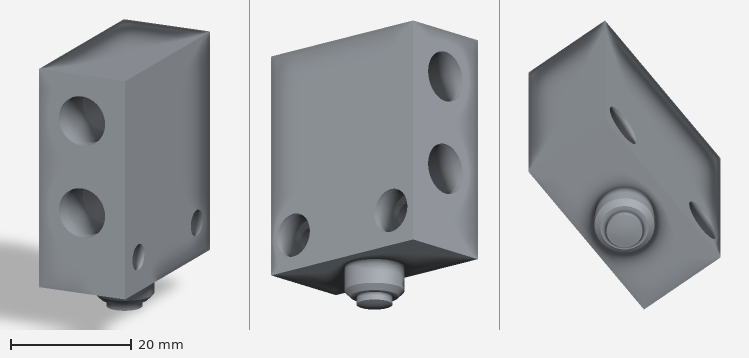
import cadquery as cq
import math

body_width = 16.0
body_length = 32.0
body_height = 38.0

collar_diameter = 10.0
collar_length = 5.1
collar_chamfer = 1.0
pin_diameter = 6.0
dome_height = 0.4
overall_height = 44.85

mount_spacing = 22.0
mount_height = 6.0
mount_diameter = 4.5
counterbore_diameter = 7.4
counterbore_depth = 4.2

port_diameter = 8.55
port_depth = 8.97
port_tip_angle = 118.0
port_spacing = 16.0
upper_port_height = body_height - port_spacing / 2


def make_actuator():
    """Revolved collar and domed pin hanging from the underside of the body."""
    collar_radius = collar_diameter / 2
    pin_radius = pin_diameter / 2
    tip_z = body_height - overall_height
    dome_base_z = tip_z + dome_height
    dome_radius = (pin_radius**2 + dome_height**2) / (2 * dome_height)
    mid_radius = pin_radius / 2
    mid_z = tip_z + dome_radius - math.sqrt(dome_radius**2 - mid_radius**2)
    return (
        cq.Workplane("XZ")
        .moveTo(0, 0)
        .lineTo(collar_radius, 0)
        .lineTo(collar_radius, collar_chamfer - collar_length)
        .lineTo(collar_radius - collar_chamfer, -collar_length)
        .lineTo(pin_radius, -collar_length)
        .lineTo(pin_radius, dome_base_z)
        .threePointArc((mid_radius, mid_z), (0, tip_z))
        .close()
        .revolve(360, (0, 0), (0, 1))
    )


def make_port(height):
    """Drilled port volume with a conical bottom, entering from the -Y face."""
    radius = port_diameter / 2
    face_y = -body_length / 2
    shoulder_y = face_y + port_depth
    tip_y = shoulder_y + radius / math.tan(math.radians(port_tip_angle / 2))
    return (
        cq.Workplane("XY", origin=(0, 0, height))
        .moveTo(0, face_y)
        .lineTo(radius, face_y)
        .lineTo(radius, shoulder_y)
        .lineTo(0, tip_y)
        .close()
        .revolve(360, (0, 0), (0, 1))
    )


body = cq.Workplane("XY").box(body_width, body_length, body_height, centered=(True, True, False))

body = (
    body.faces("<X")
    .workplane(origin=(0, 0, mount_height))
    .pushPoints([(-mount_spacing / 2, 0), (mount_spacing / 2, 0)])
    .cboreHole(mount_diameter, counterbore_diameter, counterbore_depth)
)

for port_height in (upper_port_height, upper_port_height - port_spacing):
    body = body.cut(make_port(port_height))

result = body.union(make_actuator())